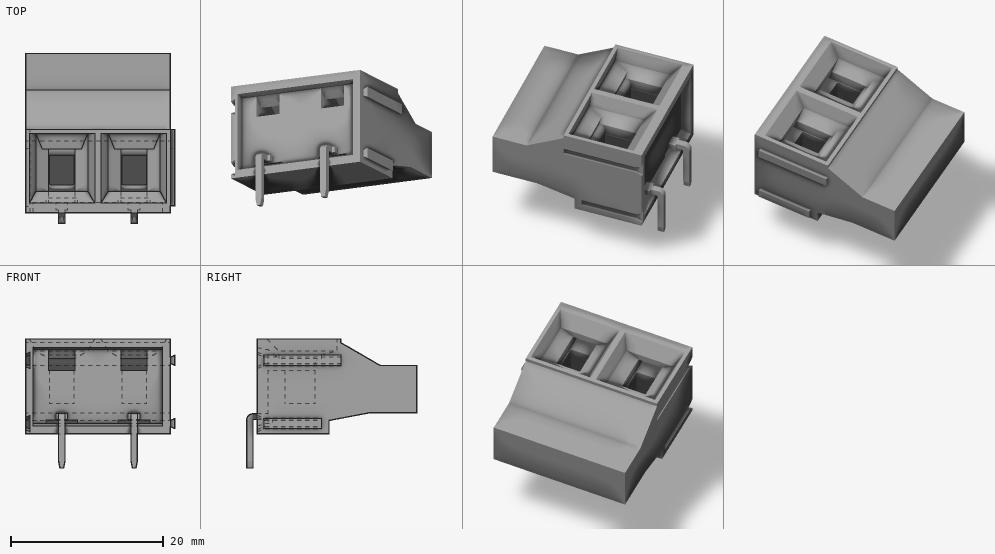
import cadquery as cq
import math


POLE_PITCH = 9.52
POLE_COUNT = 2
BODY_WIDTH = POLE_PITCH * POLE_COUNT
POLE_CENTERS = [(i - (POLE_COUNT - 1) / 2) * POLE_PITCH for i in range(POLE_COUNT)]

BODY_HEIGHT = 12.5
BODY_DEPTH = 21.0
BLOCK_DEPTH = 11.0
BLOCK_STEP = 0.5
TAIL_TOP = 9.0
TAIL_BOTTOM = 2.75
TOP_SLOPE = math.radians(30)
FOOT_DEPTH = 9.45
FOOT_HEIGHT = 1.75
BELLY_END = 14.7

RECESS_DEPTH = 1.4
RECESS_SIDE = 1.0
RECESS_BOTTOM = 1.06
RECESS_TOP = 11.35
LEDGE_DEPTH = 1.14
FLOOR_RISE = 0.3
CEILING_DROP = 0.23
RECESS_FLOOR_BACK = RECESS_BOTTOM + FLOOR_RISE
RECESS_CEILING_BACK = RECESS_TOP - CEILING_DROP

RIM_WALL = 0.5
DIVIDER_WALL = 0.8
FUNNEL_FRONT = 1.28
FUNNEL_BACK = 10.48
THROAT_FRONT = 2.83
THROAT_WIDTH = 6.84
THROAT_TOP = 10.88
LIP_Y = 8.43
LIP_Z = 10.4

CHANNEL_WIDTH = 3.43
CHANNEL_TOP = 9.9
CHANNEL_FLOOR = 8.35
BAR_RADIUS = 0.85
PIT_WIDTH = 3.26
PIT_FRONT = 3.68
PIT_BACK = LIP_Y - BAR_RADIUS
PIT_FLOOR = 4.0
PIT_CORNER = 0.25

NOTCH_WIDTH = 4.2
NOTCH_TOP = 1.8
NOTCH_DEPTH = 0.6

PIN_SIZE = 0.85
PIN_WIDTH = 0.87
PIN_TOP = 2.66
PIN_REACH = 1.4
PIN_LENGTH_BELOW = 4.5
PIN_THICKNESS = 0.78
PIN_TIP_LENGTH = 0.92
PIN_TIP_WIDTH = 0.5
PAD_WIDTH = 1.57
PAD_FRONT = 0.4
PIN_EMBEDMENT = 0.9
PIN_ROOT = RECESS_DEPTH + PIN_EMBEDMENT

DOVETAIL_DEPTH = 0.6
DOVETAIL_SPREAD = 0.27
RIB_HALF = 0.41
GROOVE_HALF = 0.46
GROOVE_MOUTH_HALF = 0.81
MOUTH_LENGTH = 0.85
RIB_FRONT = 0.92
DOVETAILS = [(9.67, BLOCK_DEPTH), (1.36, 8.46)]


def extrude_along_x(profile, width, x_center=0.0):
    """Extrude a closed (Y, Z) profile symmetrically about x_center."""
    return profile.extrude(width / 2, both=True).translate((x_center, 0, 0))


def polygon_along_x(points, width, x_center=0.0):
    return extrude_along_x(cq.Workplane("YZ").polyline(points).close(), width, x_center)


def box(x_range, y_range, z_range):
    size = [hi - lo for lo, hi in (x_range, y_range, z_range)]
    return cq.Workplane("XY").box(*size, centered=False).translate((x_range[0], y_range[0], z_range[0]))


def housing():
    step_z = BODY_HEIGHT - BLOCK_STEP
    slope_end = BLOCK_DEPTH + (step_z - TAIL_TOP) / math.tan(TOP_SLOPE)
    return polygon_along_x(
        [
            (0, 0),
            (0, BODY_HEIGHT),
            (BLOCK_DEPTH, BODY_HEIGHT),
            (BLOCK_DEPTH, step_z),
            (slope_end, TAIL_TOP),
            (BODY_DEPTH, TAIL_TOP),
            (BODY_DEPTH, TAIL_BOTTOM),
            (BELLY_END, TAIL_BOTTOM),
            (FOOT_DEPTH, FOOT_HEIGHT),
            (FOOT_DEPTH, 0),
        ],
        BODY_WIDTH,
    )


def front_recess():
    return polygon_along_x(
        [
            (0, RECESS_BOTTOM),
            (LEDGE_DEPTH, RECESS_FLOOR_BACK),
            (RECESS_DEPTH, RECESS_FLOOR_BACK),
            (RECESS_DEPTH, RECESS_CEILING_BACK),
            (LEDGE_DEPTH, RECESS_CEILING_BACK),
            (0, RECESS_TOP),
        ],
        BODY_WIDTH - 2 * RECESS_SIDE,
    )


def rectangle_at(x_range, y_range, z):
    corners = [
        cq.Vector(x_range[0], y_range[0], z),
        cq.Vector(x_range[1], y_range[0], z),
        cq.Vector(x_range[1], y_range[1], z),
        cq.Vector(x_range[0], y_range[1], z),
    ]
    return cq.Wire.makePolygon(corners, close=True)


def funnel_mouth(index):
    """Upper tier: tapers on three sides, upright at the back."""
    x_center = POLE_CENTERS[index]
    left_wall = RIM_WALL if index == 0 else DIVIDER_WALL / 2
    right_wall = RIM_WALL if index == POLE_COUNT - 1 else DIVIDER_WALL / 2
    mouth_x = (x_center - POLE_PITCH / 2 + left_wall, x_center + POLE_PITCH / 2 - right_wall)
    throat_x = (x_center - THROAT_WIDTH / 2, x_center + THROAT_WIDTH / 2)
    mouth = rectangle_at(mouth_x, (FUNNEL_FRONT, FUNNEL_BACK), BODY_HEIGHT)
    throat = rectangle_at(throat_x, (THROAT_FRONT, FUNNEL_BACK), THROAT_TOP)
    return cq.Workplane(obj=cq.Solid.makeLoft([throat, mouth], True))


def funnel_throat(x_center):
    """Lower tier: sloped sides leading to the channel, sloped back ending at a lip."""
    back_slope = polygon_along_x(
        [
            (THROAT_FRONT, CHANNEL_TOP),
            (LIP_Y, CHANNEL_TOP),
            (LIP_Y, LIP_Z),
            (FUNNEL_BACK, THROAT_TOP),
            (THROAT_FRONT, THROAT_TOP),
        ],
        THROAT_WIDTH,
        x_center,
    )
    side_slopes = (
        cq.Workplane("XZ")
        .polyline(
            [
                (x_center - CHANNEL_WIDTH / 2, CHANNEL_TOP),
                (x_center + CHANNEL_WIDTH / 2, CHANNEL_TOP),
                (x_center + THROAT_WIDTH / 2, THROAT_TOP),
                (x_center - THROAT_WIDTH / 2, THROAT_TOP),
            ]
        )
        .close()
        .extrude(-BODY_DEPTH)
    )
    return back_slope.intersect(side_slopes)


def channel(x_center):
    """Passage from the front recess to the rounded bar, with a sloped front ceiling."""
    arc_offset = BAR_RADIUS * math.sqrt(0.5)
    arc_center_z = CHANNEL_TOP - BAR_RADIUS
    profile = (
        cq.Workplane("YZ")
        .moveTo(RECESS_DEPTH, CHANNEL_FLOOR)
        .lineTo(PIT_BACK, CHANNEL_FLOOR)
        .lineTo(PIT_BACK, arc_center_z)
        .threePointArc((LIP_Y - arc_offset, arc_center_z + arc_offset), (LIP_Y, CHANNEL_TOP))
        .lineTo(THROAT_FRONT, CHANNEL_TOP)
        .lineTo(RECESS_DEPTH, RECESS_CEILING_BACK)
        .close()
    )
    return extrude_along_x(profile, CHANNEL_WIDTH, x_center)


def clamp_pit(x_center):
    half = PIT_WIDTH / 2
    pit = box((x_center - half, x_center + half), (PIT_FRONT, PIT_BACK), (PIT_FLOOR, CHANNEL_FLOOR))
    return pit.faces("<Y").edges("|Z").fillet(PIT_CORNER)


def pin_notch(x_center):
    """Notch continuing the back strip of the recess floor into the wall."""
    x_range = (x_center - NOTCH_WIDTH / 2, x_center + NOTCH_WIDTH / 2)
    y_range = (RECESS_DEPTH, RECESS_DEPTH + NOTCH_DEPTH)
    return box(x_range, y_range, (RECESS_FLOOR_BACK, NOTCH_TOP))


def solder_pin(x_center):
    pin_underside = PIN_TOP - PIN_THICKNESS
    half = PIN_WIDTH / 2
    side = (
        cq.Workplane("YZ")
        .moveTo(PIN_ROOT, PIN_TOP)
        .lineTo(PIN_SIZE - PIN_REACH, PIN_TOP)
        .radiusArc((-PIN_REACH, PIN_TOP - PIN_SIZE), -PIN_SIZE)
        .lineTo(-PIN_REACH, -PIN_LENGTH_BELOW)
        .lineTo(PIN_SIZE - PIN_REACH, -PIN_LENGTH_BELOW)
        .lineTo(PIN_SIZE - PIN_REACH, pin_underside)
        .lineTo(PIN_ROOT, pin_underside)
        .close()
    )
    bent_bar = extrude_along_x(side, PIN_WIDTH, x_center)
    tip_start = PIN_TIP_LENGTH - PIN_LENGTH_BELOW
    outline = (
        cq.Workplane("XZ", origin=(x_center, -PIN_REACH, 0))
        .polyline(
            [
                (-half, PIN_TOP),
                (-half, tip_start),
                (-PIN_TIP_WIDTH / 2, -PIN_LENGTH_BELOW),
                (PIN_TIP_WIDTH / 2, -PIN_LENGTH_BELOW),
                (half, tip_start),
                (half, PIN_TOP),
            ]
        )
        .close()
        .extrude(-(PIN_REACH + PIN_ROOT))
    )
    pad_x = (x_center - PAD_WIDTH / 2, x_center + PAD_WIDTH / 2)
    pad = box(pad_x, (PAD_FRONT, PIN_ROOT), (pin_underside, PIN_TOP))
    return bent_bar.intersect(outline).union(pad)


def dovetail_section(x_root, x_wide, z_center, root_half):
    """Corners of a dovetail in (X, Z), narrow at x_root and wide at x_wide."""
    wide_half = root_half + DOVETAIL_SPREAD
    return [
        (x_root, z_center - root_half),
        (x_wide, z_center - wide_half),
        (x_wide, z_center + wide_half),
        (x_root, z_center + root_half),
    ]


def dovetail_rib(z_center, rear):
    x_root = BODY_WIDTH / 2
    section = dovetail_section(x_root, x_root + DOVETAIL_DEPTH, z_center, RIB_HALF)
    return cq.Workplane("XZ", origin=(0, RIB_FRONT, 0)).polyline(section).close().extrude(RIB_FRONT - rear)


def dovetail_groove(z_center, rear):
    """Groove in the -X side, flaring towards the front face."""
    x_root = -BODY_WIDTH / 2
    x_wide = x_root + DOVETAIL_DEPTH
    narrow = dovetail_section(x_root, x_wide, z_center, GROOVE_HALF)
    flared = dovetail_section(x_root, x_wide, z_center, GROOVE_MOUTH_HALF)
    straight = cq.Workplane("XZ").polyline(narrow).close().extrude(-rear)
    mouth_wire = cq.Wire.makePolygon([cq.Vector(x, 0, z) for x, z in flared], close=True)
    inner_wire = cq.Wire.makePolygon([cq.Vector(x, MOUTH_LENGTH, z) for x, z in narrow], close=True)
    return straight.union(cq.Workplane(obj=cq.Solid.makeLoft([mouth_wire, inner_wire], True)))


result = housing().cut(front_recess())

for pole, center in enumerate(POLE_CENTERS):
    result = result.cut(funnel_mouth(pole))
    result = result.cut(funnel_throat(center))
    result = result.cut(channel(center))
    result = result.cut(clamp_pit(center))
    result = result.cut(pin_notch(center))
    result = result.union(solder_pin(center))

for height, rear_end in DOVETAILS:
    result = result.union(dovetail_rib(height, rear_end))
    result = result.cut(dovetail_groove(height, rear_end))